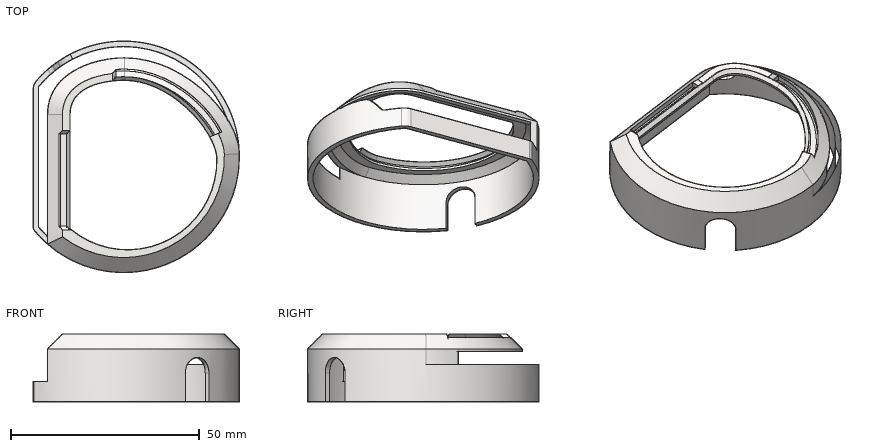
import cadquery as cq
import math

RING_RADIUS = 30.7
RING_FLAT_X = -24.0
WALL = 1.5
RING_HEIGHT = 9.9
FLAT_HEIGHT = 5.4
BACK_CORNER_RADIUS = 3.7
FRONT_CORNER_RADIUS = 1.65

RAMP_ANGLE = 116.0
RAMP_START = 0.8
RAMP_CREST_RADIUS = 5.0
RAMP_FOOT_RADIUS = 2.0
RAMP_SLOPE = 50.0

TOTAL_HEIGHT = 18.0
CHAMFER = 4.0
CHAMFER_BOTTOM = TOTAL_HEIGHT - CHAMFER
RIM_FLAT_X = -20.2
RIM_FLAT_END_Y = 11.25
RIM_CREST = (0.2, 26.3)
JOIN_ANGLE = 1.4
FRONT_ARC_MIDDLE = -60.0
FLAT_HANDLE = 11.2
CREST_LEFT_HANDLE = 8.0
CREST_RIGHT_HANDLE = 16.05
JOIN_HANDLE = 10.4
QUARTER_HANDLE = 4 / 3 * math.tan(math.pi / 8)

RIM_BOTTOM = 13.35
SLOT_END_Y = 9.35

OPENING_INSET = 6.0
OPENING_RADIUS = 23.65
OPENING_CENTER = (1.05, -1.0)
GROOVE_DEPTH = 1.0
GROOVE_Z = TOTAL_HEIGHT - GROOVE_DEPTH
GROOVE_INSET = OPENING_INSET - GROOVE_DEPTH
LIP_TOP = GROOVE_Z - GROOVE_DEPTH
LIP_BOTTOM = 15.35

FLAT_NOTCH_Y = (-18.4, 6.0)
ARC_NOTCH_LEFT_X = -2.0
ARC_NOTCH_END = (24.6, 6.0)
ARC_NOTCH_END_ANGLE = 22.0
POCKET_DEPTH = 0.8
POCKET_FALL = 0.8

WINDOW_ANGLE = -50.2
WINDOW_WIDTH = 8.1
WINDOW_TOP = 11.75

BIG = 2 * RING_RADIUS


def polar(radius, degrees, center=(0, 0)):
    angle = math.radians(degrees)
    return (center[0] + radius * math.cos(angle), center[1] + radius * math.sin(angle))


def box(x_range, y_range, z_range):
    sizes = [high - low for low, high in (x_range, y_range, z_range)]
    corner = (x_range[0], y_range[0], z_range[0])
    return cq.Workplane("XY").box(*sizes, centered=False).translate(corner)


def flatted_disc(radius, flat_x, height):
    """Cylinder cut off by a plane at flat_x."""
    disc = cq.Workplane("XY").circle(radius).extrude(height)
    return disc.intersect(box((flat_x, BIG), (-BIG, BIG), (0, height)))


def outline(plane, inset, front_radius, front_center):
    """Closed rim outline moved inward by inset; the front arc has its own radius and center."""
    flat_x = RIM_FLAT_X + inset
    shrink = QUARTER_HANDLE * inset
    flat_end = (flat_x, RIM_FLAT_END_Y)
    crest = (RIM_CREST[0], RIM_CREST[1] - inset)
    join = polar(front_radius, JOIN_ANGLE, front_center)
    corner_drop = math.sqrt(front_radius**2 - (flat_x - front_center[0]) ** 2)
    corner = (flat_x, front_center[1] - corner_drop)
    left_handles = [
        (flat_x, RIM_FLAT_END_Y + FLAT_HANDLE - shrink),
        (crest[0] - CREST_LEFT_HANDLE + shrink, crest[1]),
    ]
    right_handles = [
        (crest[0] + CREST_RIGHT_HANDLE - shrink, crest[1]),
        polar(JOIN_HANDLE - shrink, JOIN_ANGLE + 90, join),
    ]
    return (
        plane.moveTo(*corner)
        .lineTo(*flat_end)
        .bezier([flat_end, *left_handles, crest])
        .bezier([crest, *right_handles, join])
        .threePointArc(polar(front_radius, FRONT_ARC_MIDDLE, front_center), corner)
        .close()
    )


def rim_outline(plane, inset):
    return outline(plane, inset, RING_RADIUS - inset, (0, 0))


def opening_outline(plane, inset):
    return outline(plane, inset, OPENING_RADIUS + OPENING_INSET - inset, OPENING_CENTER)


def straight_slice(shape, inset, bottom, top):
    """Slice with upright sides; shape is one of the outline functions."""
    plane = cq.Workplane("XY").workplane(offset=bottom)
    return shape(plane, inset).extrude(top - bottom)


def sloped_slice(shape, bottom, bottom_inset, top, top_inset):
    """Slice whose sides slope from one inset to another."""
    low = shape(cq.Workplane("XY").workplane(offset=bottom), bottom_inset)
    both = shape(low.workplane(offset=top - bottom), top_inset)
    return both.loft(ruled=True)


def make_ramp_cutter():
    """Space above the ramp: rounded crest, straight slope, rounded foot."""
    sine = math.sin(math.radians(RAMP_SLOPE))
    drop = 1 - math.cos(math.radians(RAMP_SLOPE))
    half_sine = math.sin(math.radians(RAMP_SLOPE / 2))
    half_drop = 1 - math.cos(math.radians(RAMP_SLOPE / 2))
    straight_drop = RING_HEIGHT - FLAT_HEIGHT - (RAMP_CREST_RADIUS + RAMP_FOOT_RADIUS) * drop
    slope_start = (RAMP_START + RAMP_CREST_RADIUS * sine, RING_HEIGHT - RAMP_CREST_RADIUS * drop)
    slope_end = (
        slope_start[0] + straight_drop / math.tan(math.radians(RAMP_SLOPE)),
        slope_start[1] - straight_drop,
    )
    foot_end = (slope_end[0] + RAMP_FOOT_RADIUS * sine, FLAT_HEIGHT)
    crest_middle = (
        RAMP_START + RAMP_CREST_RADIUS * half_sine,
        RING_HEIGHT - RAMP_CREST_RADIUS * half_drop,
    )
    foot_middle = (
        foot_end[0] - RAMP_FOOT_RADIUS * half_sine,
        FLAT_HEIGHT + RAMP_FOOT_RADIUS * half_drop,
    )
    across = polar(1, RAMP_ANGLE + 90)
    plane = cq.Plane(origin=(0, 0, 0), xDir=(*across, 0), normal=(*polar(1, RAMP_ANGLE), 0))
    return (
        cq.Workplane(plane)
        .moveTo(RAMP_START, RING_HEIGHT)
        .threePointArc(crest_middle, slope_start)
        .lineTo(*slope_end)
        .threePointArc(foot_middle, foot_end)
        .lineTo(BIG, FLAT_HEIGHT)
        .lineTo(BIG, RING_HEIGHT)
        .close()
        .extrude(BIG)
    )


def make_band(hollow):
    """Base band with its low flat side."""
    band = flatted_disc(RING_RADIUS, RING_FLAT_X, RING_HEIGHT)
    band = band.edges("|Z and >Y").fillet(BACK_CORNER_RADIUS)
    band = band.edges("|Z and <Y").fillet(FRONT_CORNER_RADIUS)
    band = band.cut(hollow)
    band = band.cut(box((-BIG, RIM_FLAT_X), (-BIG, BIG), (FLAT_HEIGHT, TOTAL_HEIGHT)))
    return band.cut(make_ramp_cutter())


def make_front_wall(hollow):
    """Wall joining the band to the rim around the front."""
    wall = straight_slice(rim_outline, 0, 0, CHAMFER_BOTTOM).cut(hollow)
    return wall.intersect(box((-BIG, BIG), (-BIG, SLOT_END_Y), (0, CHAMFER_BOTTOM)))


def make_rim():
    """Chamfered rim, hollow below, with a V groove inside its lip."""
    rim = straight_slice(rim_outline, 0, RIM_BOTTOM, CHAMFER_BOTTOM)
    rim = rim.union(sloped_slice(rim_outline, CHAMFER_BOTTOM, 0, TOTAL_HEIGHT, CHAMFER))
    cavity_inset = WALL + LIP_BOTTOM - RIM_BOTTOM
    rim = rim.cut(sloped_slice(rim_outline, RIM_BOTTOM, WALL, LIP_BOTTOM, cavity_inset))
    rim = rim.cut(straight_slice(opening_outline, OPENING_INSET, LIP_BOTTOM, LIP_TOP))
    rim = rim.cut(sloped_slice(opening_outline, LIP_TOP, OPENING_INSET, GROOVE_Z, GROOVE_INSET))
    return rim.cut(sloped_slice(opening_outline, GROOVE_Z, GROOVE_INSET, TOTAL_HEIGHT, OPENING_INSET))


def make_flat_notch():
    """Notch along the flat side, with ends leaning outward at 45 degrees."""
    low, high = FLAT_NOTCH_Y
    profile = [
        (low, GROOVE_Z),
        (high, GROOVE_Z),
        (high + GROOVE_DEPTH, TOTAL_HEIGHT),
        (low - GROOVE_DEPTH, TOTAL_HEIGHT),
    ]
    return cq.Workplane("YZ").polyline(profile).close().extrude(-BIG)


def arc_notch_limit(bottom):
    """Space behind the upright right-hand end of the back notch."""
    space = box((0, BIG), (0, BIG), (bottom, TOTAL_HEIGHT)).translate((-RING_RADIUS, 0, 0))
    return space.rotate((0, 0, 0), (0, 0, 1), ARC_NOTCH_END_ANGLE).translate((*ARC_NOTCH_END, 0))


def make_arc_notch():
    """Notch along the back of the rim; its left end leans outward at 45 degrees."""
    profile = [
        (ARC_NOTCH_LEFT_X, GROOVE_Z),
        (BIG, GROOVE_Z),
        (BIG, TOTAL_HEIGHT),
        (ARC_NOTCH_LEFT_X - GROOVE_DEPTH, TOTAL_HEIGHT),
    ]
    notch = cq.Workplane("XZ").polyline(profile).close().extrude(-BIG)
    return notch.intersect(arc_notch_limit(GROOVE_Z))


def make_pockets():
    """Pockets below the notches, with floors falling outward."""
    inner_floor = GROOVE_Z - POCKET_DEPTH
    outer_floor = inner_floor - POCKET_FALL
    outer_inset = CHAMFER - GROOVE_DEPTH
    trough = straight_slice(rim_outline, outer_inset, outer_floor, GROOVE_Z)
    trough = trough.cut(sloped_slice(rim_outline, outer_floor, outer_inset, inner_floor, GROOVE_INSET))
    trough = trough.cut(straight_slice(opening_outline, GROOVE_INSET, inner_floor, GROOVE_Z))
    flat_part = trough.intersect(box((-BIG, 0), FLAT_NOTCH_Y, (0, GROOVE_Z)))
    back_part = trough.intersect(box((ARC_NOTCH_LEFT_X, BIG), (0, BIG), (0, GROOVE_Z)))
    return flat_part.union(back_part.intersect(arc_notch_limit(0)))


def make_window():
    """Arched window, open at the bottom, running outward from the middle."""
    radius = WINDOW_WIDTH / 2
    spring_z = WINDOW_TOP - radius
    outward = (*polar(1, WINDOW_ANGLE), 0)
    plane = cq.Plane(origin=(0, 0, 0), xDir=(*polar(1, WINDOW_ANGLE + 90), 0), normal=outward)
    return (
        cq.Workplane(plane)
        .moveTo(-radius, 0)
        .lineTo(radius, 0)
        .lineTo(radius, spring_z)
        .threePointArc((0, WINDOW_TOP), (-radius, spring_z))
        .close()
        .extrude(BIG)
    )


hollow = flatted_disc(RING_RADIUS - WALL, RING_FLAT_X + WALL, TOTAL_HEIGHT)
result = make_band(hollow).union(make_front_wall(hollow)).union(make_rim())
result = result.cut(make_flat_notch()).cut(make_arc_notch()).cut(make_pockets()).cut(make_window())